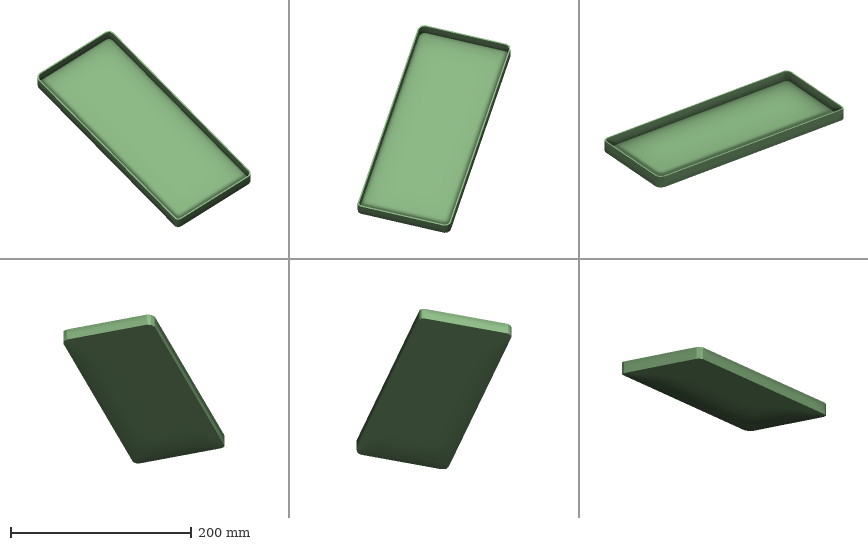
import cadquery as cq

length = 257.0
width = 106.5
height = 13.5

wall = 1.5
floor = 1.0

front_left = {"along_x": 6.7, "along_y": 6.7, "ridge": (2.0, 2.5)}
front_right = {"along_x": 4.0, "along_y": 4.5, "ridge": (1.3, 1.3)}
back_right = {"along_x": 5.1, "along_y": 5.7, "ridge": (1.8, 2.0)}
back_left = {"along_x": 7.0, "along_y": 6.5, "ridge": (1.8, 1.8)}


def corner_points(side_x, side_y, cut):
    """Points of one faceted corner, from its Y side wall to its X side wall."""
    corner_x = side_x * length / 2
    corner_y = side_y * width / 2
    ridge_x, ridge_y = cut["ridge"]
    return [
        (corner_x, corner_y - side_y * cut["along_y"]),
        (corner_x - side_x * ridge_x, corner_y - side_y * ridge_y),
        (corner_x - side_x * cut["along_x"], corner_y),
    ]


outline = (
    corner_points(-1, -1, front_left)
    + corner_points(1, -1, front_right)[::-1]
    + corner_points(1, 1, back_right)
    + corner_points(-1, 1, back_left)[::-1]
)

body = cq.Workplane("XY").polyline(outline).close().extrude(height)

pocket = (
    cq.Workplane("XY")
    .workplane(offset=floor)
    .polyline(outline)
    .close()
    .offset2D(-wall, "intersection")
    .extrude(height - floor)
)

result = body.cut(pocket)